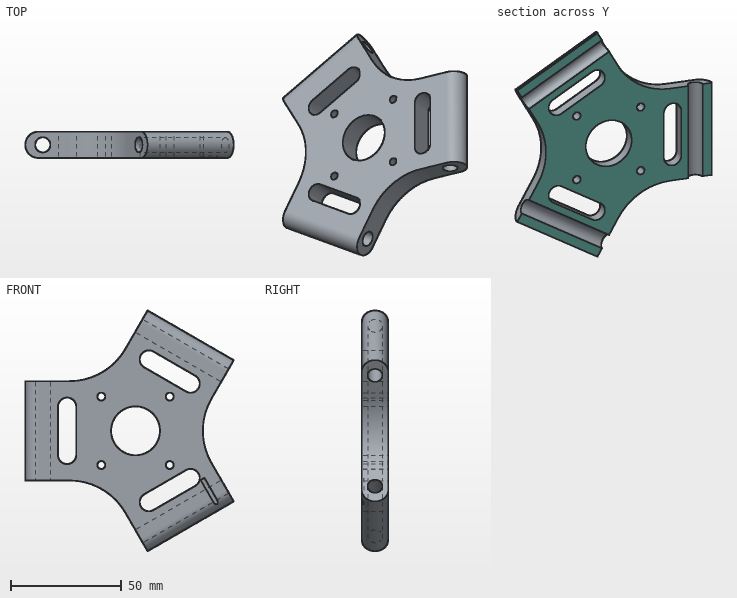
import cadquery as cq
import math

height = 109.1
thickness = 12.0
arm_reach = 50.0
arm_angles = (60, 180, 300)
valley_radius = 29.0
pin_hole_diameter = 6.8
pin_hole_inset = 8.0
slot_distance = 31.0
slot_length = 30.0
slot_width = 8.2
bore_diameter = 22.0
screw_spacing = 31.0
screw_diameter = 3.5
groove_radius = 1.0
groove_start = 34.0
groove_offset = 15.4

arm_half_width = (height / 2 - arm_reach * math.sin(math.radians(60))) / math.cos(math.radians(60))
arm_width = 2 * arm_half_width
tip_radius = thickness / 2
valley_distance = 2 * arm_half_width / math.sqrt(3)


def arm():
    """Flat arm along +X with a half-round tip, centred on the XY plane."""
    straight = arm_reach - tip_radius
    body = cq.Workplane("XY").box(straight, arm_width, thickness, centered=(False, True, True))
    tip = (
        cq.Workplane("XZ")
        .center(straight, 0)
        .circle(tip_radius)
        .extrude(arm_half_width, both=True)
    )
    return body.union(tip)


def arm_cutters():
    """Slot through the face and pin hole across the width, for the arm along +X."""
    slot = (
        cq.Workplane("XY")
        .center(slot_distance, 0)
        .slot2D(slot_length, slot_width, 90)
        .extrude(thickness, both=True)
    )
    pin_hole = (
        cq.Workplane("XZ")
        .center(arm_reach - pin_hole_inset, 0)
        .cylinder(arm_width, pin_hole_diameter / 2)
    )
    return slot.union(pin_hole)


def groove():
    """Round-bottomed groove in the front face, running out over the tip of the arm."""
    return (
        cq.Workplane("YZ", origin=(groove_start, groove_offset, thickness / 2))
        .circle(groove_radius)
        .extrude(arm_reach - groove_start)
    )


def on_arm(shape, angle):
    return shape.rotate((0, 0, 0), (0, 0, 1), angle)


plate = cq.Workplane("XY")
for angle in arm_angles:
    plate = plate.union(on_arm(arm(), angle))
for angle in arm_angles:
    direction = math.radians(angle + 60)
    corner = (valley_distance * math.cos(direction), valley_distance * math.sin(direction), 0)
    plate = plate.edges(cq.selectors.NearestToPointSelector(corner)).fillet(valley_radius)

for angle in arm_angles:
    plate = plate.cut(on_arm(arm_cutters(), angle))

bore = cq.Workplane("XY").cylinder(thickness, bore_diameter / 2)
screw_holes = (
    cq.Workplane("XY")
    .rect(screw_spacing, screw_spacing, forConstruction=True)
    .vertices()
    .cylinder(thickness, screw_diameter / 2)
)
plate = plate.cut(bore).cut(screw_holes).cut(on_arm(groove(), arm_angles[2]))

result = plate.rotate((0, 0, 0), (1, 0, 0), 90)